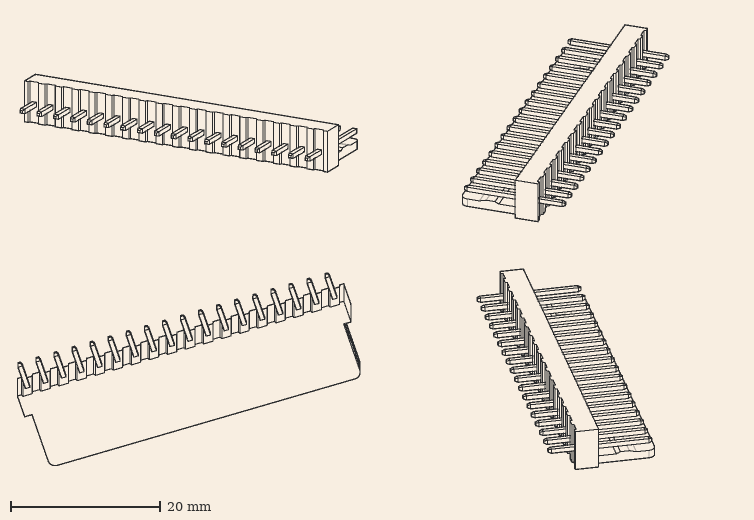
import cadquery as cq


body_length = 45.9
body_depth = 3.2
body_height = 5.8

pin_count = 18
pin_row_span = 43.2
pin_width = 0.65
pin_tip_width = 0.35
pin_tip_length = 0.4
pin_height = 2.6
tail_length = 3.45

groove_floor_width = 1.3
groove_mouth_width = 1.55
groove_depth = 0.28

wall_reach = 8.12
wall_thickness = 1.15
wall_corner_radius = 1.0
wall_past_pin_tips = 0.55

ramp_length = 4.8
ramp_height = 0.28
ramp_front_run = 0.55
ramp_top_depth = 1.25
ramp_back_run = 0.95
ramp_front_gap = 2.65

pin_pitch = pin_row_span / (pin_count - 1)
pin_places = [i * pin_pitch - pin_row_span / 2 for i in range(pin_count)]
wall_length = pin_row_span + pin_width
wall_back = body_depth + wall_reach
pin_front = -tail_length
pin_back = wall_back - wall_past_pin_tips


def make_body():
    body = cq.Workplane("XY").box(
        body_length, body_depth, body_height, centered=(True, False, False)
    )
    groove = (
        cq.Workplane("XY")
        .polyline([
            (-groove_mouth_width / 2, 0),
            (-groove_floor_width / 2, groove_depth),
            (groove_floor_width / 2, groove_depth),
            (groove_mouth_width / 2, 0),
        ])
        .close()
        .extrude(body_height)
    )
    for x in pin_places:
        body = body.cut(groove.translate((x, 0, 0)))
    return body


def make_wall():
    wall_start = body_depth / 2
    return (
        cq.Workplane("XY")
        .box(wall_length, wall_back - wall_start, wall_thickness, centered=(True, False, False))
        .translate((0, wall_start, 0))
        .edges("|Z and >Y")
        .fillet(wall_corner_radius)
    )


def make_ramp(x_start):
    front = body_depth + ramp_front_gap
    top_front = front + ramp_front_run
    top_back = top_front + ramp_top_depth
    back = top_back + ramp_back_run
    top = wall_thickness + ramp_height
    return (
        cq.Workplane("YZ", origin=(x_start, 0, 0))
        .polyline([
            (front, 0),
            (front, wall_thickness),
            (top_front, top),
            (top_back, top),
            (back, wall_thickness),
            (back, 0),
        ])
        .close()
        .extrude(ramp_length)
    )


def make_tip(y, direction):
    plane = cq.Plane(origin=(0, y, pin_height), xDir=(1, 0, 0), normal=(0, direction, 0))
    return (
        cq.Workplane(plane)
        .rect(pin_width, pin_width)
        .workplane(offset=pin_tip_length)
        .rect(pin_tip_width, pin_tip_width)
        .loft(combine=True)
    )


def make_pin():
    shank_front = pin_front + pin_tip_length
    shank_back = pin_back - pin_tip_length
    shank = (
        cq.Workplane("XY")
        .box(pin_width, shank_back - shank_front, pin_width, centered=(True, False, True))
        .translate((0, shank_front, pin_height))
    )
    return shank.union(make_tip(shank_front, -1)).union(make_tip(shank_back, 1))


result = make_body().union(make_wall())

for ramp_start in (-wall_length / 2, wall_length / 2 - ramp_length):
    result = result.union(make_ramp(ramp_start))

pin = make_pin()
for pin_x in pin_places:
    result = result.union(pin.translate((pin_x, 0, 0)))